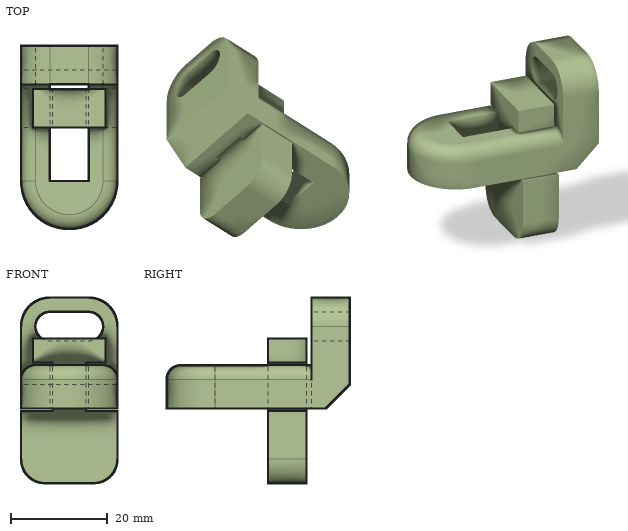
import cadquery as cq

width = 20.0
lug_thickness = 8.0
lug_height = 23.0
lug_corner_radius = 6.0
lug_rim = 3.0
slot_height = 6.0
heel_chamfer = 5.0
arm_reach = 30.0
arm_thickness = 9.0
arm_edge_radius = 3.0
arm_nose_radius = width / 2
window_width = 8.0
window_length = arm_reach - arm_nose_radius

tag_thickness = 8.0
tag_setback = 1.0
neck_width = 7.0
neck_clearance = 0.5
head_width = 15.0
head_height = 5.0
plate_height = 15.0
plate_corner_radius = 5.0


def upright_box(size_x, size_y, bottom, top, back_y):
    """Box centred on X, running from back_y toward -Y, between two heights."""
    return cq.Workplane("XY").box(size_x, size_y, top - bottom).translate(
        (0, back_y - size_y / 2, (bottom + top) / 2)
    )


def make_lug():
    lug = upright_box(width, lug_thickness, 0, lug_height, lug_thickness)
    lug = lug.edges("|Y and >Z").fillet(lug_corner_radius)
    lug = lug.edges("|X and >Y and <Z").chamfer(heel_chamfer)
    slot = (
        cq.Workplane("XZ")
        .center(0, lug_height - lug_rim - slot_height / 2)
        .slot2D(width - 2 * lug_rim, slot_height)
        .extrude(-lug_thickness)
    )
    return lug.cut(slot)


def make_arm():
    nose_start = -(arm_reach - arm_nose_radius)
    arm = (
        cq.Workplane("XY")
        .moveTo(-width / 2, 0)
        .lineTo(-width / 2, nose_start)
        .threePointArc((0, -arm_reach), (width / 2, nose_start))
        .lineTo(width / 2, 0)
        .close()
        .extrude(arm_thickness)
    )
    arm = arm.faces(">Z").edges("not >Y").fillet(arm_edge_radius)
    window = upright_box(window_width, window_length, 0, arm_thickness, 0)
    return arm.cut(window)


def make_hanger():
    return make_lug().union(make_arm())


def make_tag():
    back_y = -tag_setback
    neck_bottom = -neck_clearance
    neck_top = arm_thickness + neck_clearance
    plate = upright_box(width, tag_thickness, neck_bottom - plate_height, neck_bottom, back_y)
    plate = plate.edges("|Y and <Z").fillet(plate_corner_radius)
    neck = upright_box(neck_width, tag_thickness, neck_bottom, neck_top, back_y)
    head = upright_box(head_width, tag_thickness, neck_top, neck_top + head_height, back_y)
    return plate.union(neck).union(head)


hanger = make_hanger()
tag = make_tag()

result = cq.Compound.makeCompound([hanger.val(), tag.val()])